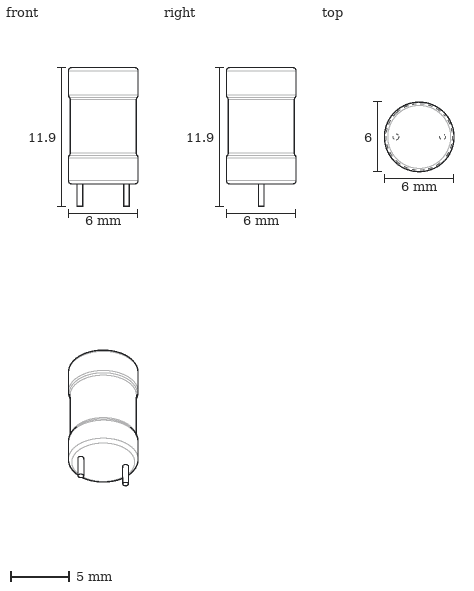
import cadquery as cq
import math

total_height = 11.92
can_height = 10.0
can_diameter = 6.0
waist_diameter = 5.7
lower_step_z = 2.44
upper_step_z = 7.44
edge_radius = 0.3
step_radius = 0.3
pin_diameter = 0.5
pin_spacing = 4.0

can_radius = can_diameter / 2
waist_radius = waist_diameter / 2
step_mid_radius = (can_radius + waist_radius) / 2
arc_depth = can_radius - step_mid_radius
arc_height = math.sqrt(step_radius**2 - (step_radius - arc_depth) ** 2)
pin_length = total_height - can_height


def make_can():
    """Solid can with rounded rims and a narrower waist, its bottom face at Z = 0."""
    profile = (
        cq.Workplane("XZ")
        .lineTo(can_radius, 0)
        .lineTo(can_radius, lower_step_z - arc_height)
        .radiusArc((step_mid_radius, lower_step_z), -step_radius)
        .radiusArc((waist_radius, lower_step_z + arc_height), step_radius)
        .lineTo(waist_radius, upper_step_z - arc_height)
        .radiusArc((step_mid_radius, upper_step_z), step_radius)
        .radiusArc((can_radius, upper_step_z + arc_height), -step_radius)
        .lineTo(can_radius, can_height)
        .lineTo(0, can_height)
        .close()
    )
    can = profile.revolve(360, (0, 0, 0), (0, 1, 0))
    return can.faces("<Z or >Z").edges().fillet(edge_radius).solids()


def make_pin(x):
    """Straight round lead hanging from the bottom face of the can."""
    return cq.Workplane("XY").center(x, 0).circle(pin_diameter / 2).extrude(-pin_length)


can = make_can()
pins = [make_pin(side * pin_spacing / 2) for side in (-1, 1)]

result = cq.Compound.makeCompound([can.val(), *[pin.val() for pin in pins]])